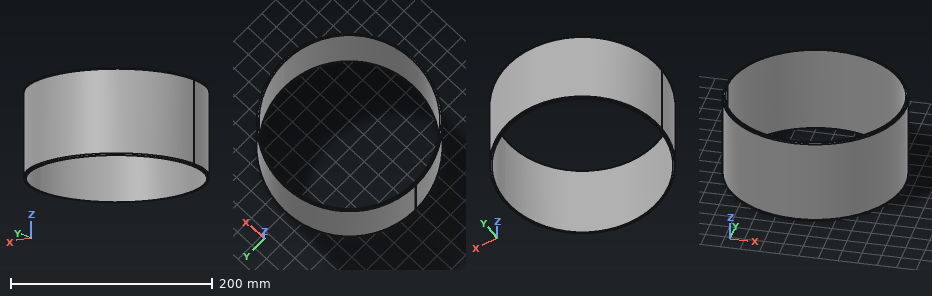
import cadquery as cq

outer_diameter = 185.0
wall = 2.4
height = 90.0
bevel_height = 1.7
bevel_inset = 0.5
slit_width = 1.5

outer_radius = outer_diameter / 2
inner_radius = outer_radius - wall
rim_radius = outer_radius - bevel_inset


def make_band():
    """Thin ring with a steep outer bevel at both ends, revolved about Z."""
    profile = [
        (inner_radius, 0),
        (rim_radius, 0),
        (outer_radius, bevel_height),
        (outer_radius, height - bevel_height),
        (rim_radius, height),
        (inner_radius, height),
    ]
    return cq.Workplane("XZ").polyline(profile).close().revolve(360, (0, 0), (0, 1))


def make_slit():
    """Full-height cutter through the -X wall, with one face on the XZ plane."""
    slit_depth = 2 * wall
    return cq.Workplane("XY").box(slit_depth, slit_width, height, centered=False).translate(
        (-outer_radius - wall / 2, 0, 0)
    )


result = make_band().cut(make_slit())